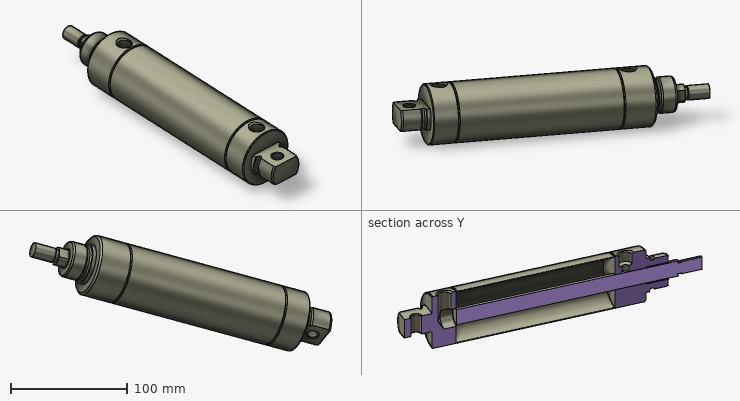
import cadquery as cq
import math

LENGTH = 277.8
BARREL_DIAMETER = 53.0
BARREL_RADIUS = BARREL_DIAMETER / 2

NOSE_START = 31.5
COLLAR_START = 49.0
HEAD_START = 52.2
TUBE_START = 81.5
CAP_START = 229.2
CAP_END = 252.0

ROD_DIAMETER = 15.8
ROD_RADIUS = ROD_DIAMETER / 2
STUB_RADIUS = 6.5
STUB_END = 19.0
NECK_RADIUS = 5.5
SHOULDER_START = 22.2
FLATS_WIDTH = 12.8

COLLAR_RADIUS = 17.5
COLLAR_LENGTH = HEAD_START - COLLAR_START
THREAD_RADIUS = 15.8
GROOVE_RADIUS = 14.5
GROOVE_FLOOR = 2.0
THREAD_CHAMFER_LENGTH = 1.7
THREAD_CHAMFER_DEPTH = 0.8

HEAD_CHAMFER = 1.7
JOINT_CHAMFER = 0.8

BUSHING_RADIUS = 9.0
TUBE_BORE_RADIUS = 25.3
CAP_BORE_RADIUS = 9.0
CAP_BORE_END = 241.0

FRONT_PORT_X = 71.5
REAR_PORT_X = 240.3
PORT_RADIUS = 5.8
PORT_MOUTH_RADIUS = 7.5
PORT_DEPTH = 11.0
PASSAGE_RADIUS = 3.0
DRILL_HALF_ANGLE = math.radians(59)

TANG_THICKNESS = 19.0
TANG_HOLE_X = 266.7
TANG_HOLE_RADIUS = 4.7
TANG_HOLE_CHAMFER = 0.8


def turned(profile):
    """Solid of revolution about X from (x, radius) points, closed along the axis."""
    start = (profile[0][0], 0)
    end = (profile[-1][0], 0)
    points = [start, *profile]
    if profile[-1] != end:
        points.append(end)
    outline = cq.Workplane("XZ").polyline(points).close()
    return outline.revolve(360, (0, 0, 0), (1, 0, 0))


def cylinder(start, end, radius):
    """Plain cylinder about X."""
    return turned([(start, radius), (end, radius)])


def vertical_cone(x, bottom, top, bottom_radius, top_radius):
    """Cone about a vertical axis at x."""
    outline = cq.Workplane("XZ").polyline(
        [(x, bottom), (x + bottom_radius, bottom), (x + top_radius, top), (x, top)]
    )
    return outline.close().revolve(360, (x, 0, 0), (x, 1, 0))


def vertical_cylinder(x, bottom, top, radius):
    """Cylinder about a vertical axis at x."""
    return vertical_cone(x, bottom, top, radius, radius)


def mount_profile(face, tip):
    """(x, radius) points of a mounting thread, from the barrel face out to the thread tip."""
    out = math.copysign(1, tip - face)
    groove_slope = THREAD_RADIUS - GROOVE_RADIUS
    collar_end = face + out * COLLAR_LENGTH
    floor_start = collar_end + out * groove_slope
    floor_end = floor_start + out * GROOVE_FLOOR
    return [
        (face, COLLAR_RADIUS),
        (collar_end, COLLAR_RADIUS),
        (collar_end, THREAD_RADIUS),
        (floor_start, GROOVE_RADIUS),
        (floor_end, GROOVE_RADIUS),
        (floor_end + out * groove_slope, THREAD_RADIUS),
        (tip - out * THREAD_CHAMFER_LENGTH, THREAD_RADIUS),
        (tip, THREAD_RADIUS - THREAD_CHAMFER_DEPTH),
    ]


def port(x):
    """Countersunk air port drilled down from the top of the barrel."""
    floor = BARREL_RADIUS - PORT_DEPTH
    sink_depth = PORT_MOUTH_RADIUS - PORT_RADIUS
    bore = vertical_cylinder(x, floor, BARREL_RADIUS, PORT_RADIUS)
    sink = vertical_cone(x, BARREL_RADIUS - sink_depth, BARREL_RADIUS, PORT_RADIUS, PORT_MOUTH_RADIUS)
    return bore.union(sink)


def make_rod():
    relief = STUB_RADIUS - NECK_RADIUS
    rod = turned([
        (0, STUB_RADIUS),
        (STUB_END, STUB_RADIUS),
        (STUB_END + relief, NECK_RADIUS),
        (SHOULDER_START, NECK_RADIUS),
        (SHOULDER_START, ROD_RADIUS),
        (CAP_START, ROD_RADIUS),
    ])
    flats_length = NOSE_START - SHOULDER_START
    flats_middle = (NOSE_START + SHOULDER_START) / 2
    sleeve = cq.Workplane("XY").box(flats_length, 2 * ROD_RADIUS, 2 * ROD_RADIUS)
    between_flats = cq.Workplane("XY").box(flats_length, FLATS_WIDTH, 2 * ROD_RADIUS)
    return rod.cut(sleeve.cut(between_flats).translate((flats_middle, 0, 0)))


def make_bushing():
    bushing = cylinder(NOSE_START, HEAD_START, BUSHING_RADIUS)
    return bushing.cut(cylinder(NOSE_START, HEAD_START, ROD_RADIUS))


def make_head():
    nose = mount_profile(HEAD_START, NOSE_START)[::-1]
    head = turned([
        *nose,
        (HEAD_START, BARREL_RADIUS - HEAD_CHAMFER),
        (HEAD_START + HEAD_CHAMFER, BARREL_RADIUS),
        (TUBE_START - JOINT_CHAMFER, BARREL_RADIUS),
        (TUBE_START, BARREL_RADIUS - JOINT_CHAMFER),
    ])
    head = head.cut(cylinder(NOSE_START, TUBE_START, ROD_RADIUS))
    head = head.cut(cylinder(NOSE_START, HEAD_START, BUSHING_RADIUS))

    floor = BARREL_RADIUS - PORT_DEPTH
    point_depth = (PORT_RADIUS - PASSAGE_RADIUS) / math.tan(DRILL_HALF_ANGLE)
    point = vertical_cone(FRONT_PORT_X, floor - point_depth, floor, PASSAGE_RADIUS, PORT_RADIUS)
    passage = vertical_cylinder(FRONT_PORT_X, 0, floor, PASSAGE_RADIUS)
    return head.cut(port(FRONT_PORT_X)).cut(point).cut(passage)


def make_tube():
    tube = turned([
        (TUBE_START, BARREL_RADIUS - JOINT_CHAMFER),
        (TUBE_START + JOINT_CHAMFER, BARREL_RADIUS),
        (CAP_START - JOINT_CHAMFER, BARREL_RADIUS),
        (CAP_START, BARREL_RADIUS - JOINT_CHAMFER),
    ])
    return tube.cut(cylinder(TUBE_START, CAP_START, TUBE_BORE_RADIUS))


def make_cap():
    body = turned([
        (CAP_START, BARREL_RADIUS - JOINT_CHAMFER),
        (CAP_START + JOINT_CHAMFER, BARREL_RADIUS),
        (CAP_END - JOINT_CHAMFER, BARREL_RADIUS),
        (CAP_END, BARREL_RADIUS - JOINT_CHAMFER),
    ])

    point_length = CAP_BORE_RADIUS / math.tan(DRILL_HALF_ANGLE)
    bore = turned([
        (CAP_START, CAP_BORE_RADIUS),
        (CAP_BORE_END, CAP_BORE_RADIUS),
        (CAP_BORE_END + point_length, 0),
    ])
    port_reach = vertical_cylinder(REAR_PORT_X, 0, BARREL_RADIUS - PORT_DEPTH, PORT_RADIUS)
    body = body.cut(bore).cut(port(REAR_PORT_X)).cut(port_reach)
    return body.union(make_tang())


def make_tang():
    """Mounting thread cut flat on top and bottom, with a chamfered pivot hole."""
    tang_length = LENGTH - CAP_END
    slab = cq.Workplane("XY").box(tang_length, 2 * COLLAR_RADIUS, TANG_THICKNESS)
    slab = slab.translate(((LENGTH + CAP_END) / 2, 0, 0))
    tang = turned(mount_profile(CAP_END, LENGTH)).intersect(slab)
    face = TANG_THICKNESS / 2
    tang = tang.cut(vertical_cylinder(TANG_HOLE_X, -face, face, TANG_HOLE_RADIUS))
    mouth = TANG_HOLE_RADIUS + TANG_HOLE_CHAMFER
    sink = vertical_cone(TANG_HOLE_X, face - TANG_HOLE_CHAMFER, face, TANG_HOLE_RADIUS, mouth)
    return tang.cut(sink).cut(sink.mirror("XY"))


rod = make_rod()
bushing = make_bushing()
head = make_head()
tube = make_tube()
cap = make_cap()

result = cq.Compound.makeCompound([rod.val(), bushing.val(), head.val(), tube.val(), cap.val()])